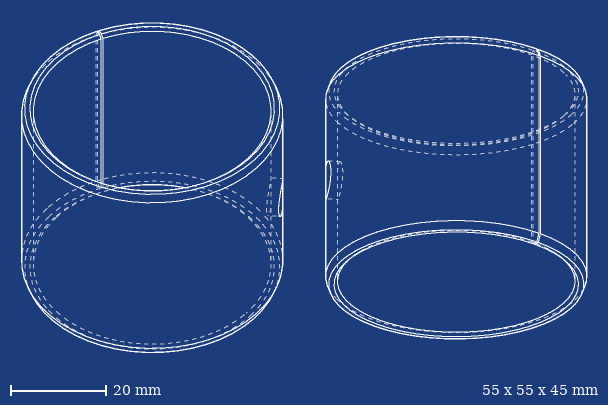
import cadquery as cq
import math

outer_diameter = 55.0
inner_diameter = 50.0
length = 45.0

outer_chamfer_length = 1.8
outer_chamfer_angle = 20.0
inner_chamfer = 0.7

slit_width = 0.4

hole_diameter = 8.0
hole_angle = 58.5

outer_radius = outer_diameter / 2
inner_radius = inner_diameter / 2
half_length = length / 2
outer_chamfer_depth = outer_chamfer_length * math.tan(math.radians(outer_chamfer_angle))


def make_sleeve():
    """Revolve the wall section, with both ends chamfered, about Z."""
    upper_half = [
        (outer_radius, half_length - outer_chamfer_length),
        (outer_radius - outer_chamfer_depth, half_length),
        (inner_radius + inner_chamfer, half_length),
        (inner_radius, half_length - inner_chamfer),
    ]
    lower_half = [(radius, -height) for radius, height in reversed(upper_half)]
    section = cq.Workplane("XZ").polyline(upper_half + lower_half).close()
    return section.revolve(360, (0, 0, 0), (0, 1, 0))


def make_slit():
    """Slab running from the axis outward through the -X wall."""
    slab = cq.Workplane("XY").box(outer_diameter, slit_width, 2 * length)
    return slab.translate((-outer_radius, 0, 0))


def make_oil_hole():
    """Cylinder running from the axis outward through one wall."""
    drill = cq.Workplane("YZ").circle(hole_diameter / 2).extrude(outer_diameter)
    return drill.rotate((0, 0, 0), (0, 0, 1), hole_angle)


result = make_sleeve().cut(make_slit()).cut(make_oil_hole())